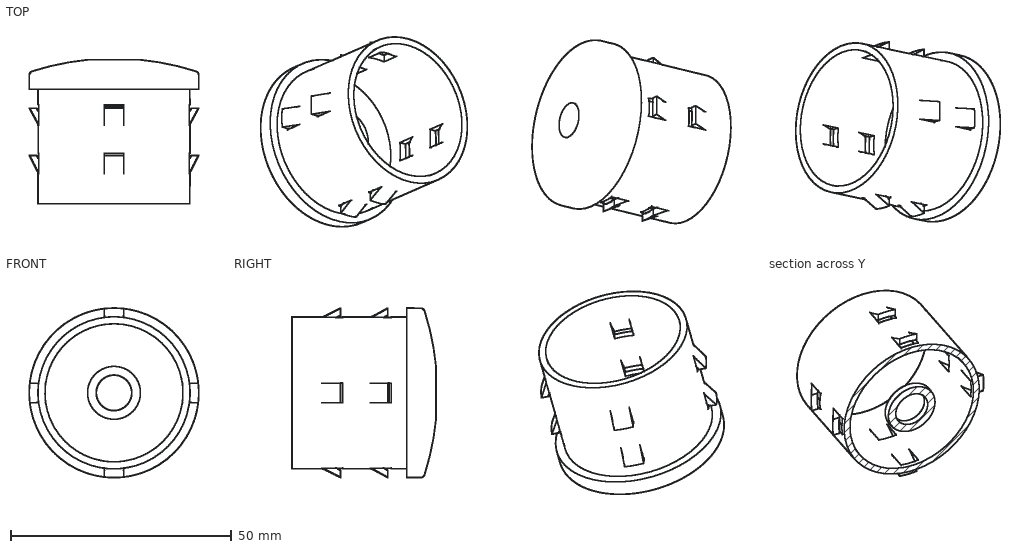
import cadquery as cq
import math


sleeve_radius = 17.25
wall = 1.6
sleeve_length = 26.0
bore_radius = sleeve_radius - wall

flange_overhang = 2.0
flange_radius = sleeve_radius + flange_overhang
total_length = 32.72
dome_radius = 61.0
dome_flat_radius = 6.0
rim_fillet = 1.0

hole_radius = 4.0
boss_radius = 6.0
boss_end_y = 22.05
boss_fillet = 1.0

tongues_per_row = 4
tongue_width = 4.4
window_length = 4.7
window_starts = (6.8, 17.8)
tip_offsets = (4.25, 3.95)
tip_radius = flange_radius
bend_setback = 0.27
bend_radius = 1.0
selection_tolerance = 0.01


def dome_height(radius):
    """Height of the dome surface at a distance from the axis."""
    centre_y = total_length - math.sqrt(dome_radius**2 - dome_flat_radius**2)
    return centre_y + math.sqrt(dome_radius**2 - radius**2)


def revolve_about_y(profile):
    """Full revolution, with the seam turned to lie between the tongues."""
    seam_angle = 180 / tongues_per_row
    solid = profile.close().revolve(360, (0, 0, 0), (0, 1, 0))
    return solid.rotate((0, 0, 0), (0, 1, 0), seam_angle)


def make_cap():
    dome_mid_radius = (dome_flat_radius + flange_radius) / 2
    profile = (
        cq.Workplane("XY")
        .moveTo(0, sleeve_length)
        .lineTo(flange_radius, sleeve_length)
        .lineTo(flange_radius, dome_height(flange_radius))
        .threePointArc((dome_mid_radius, dome_height(dome_mid_radius)), (dome_flat_radius, total_length))
        .lineTo(0, total_length)
    )
    rim_centre = (0, dome_height(flange_radius), 0)
    return revolve_about_y(profile).edges(cq.NearestToPointSelector(rim_centre)).fillet(rim_fillet)


def make_sleeve():
    profile = (
        cq.Workplane("XY")
        .moveTo(bore_radius, 0)
        .lineTo(sleeve_radius, 0)
        .lineTo(sleeve_radius, sleeve_length)
        .lineTo(bore_radius, sleeve_length)
    )
    return revolve_about_y(profile)


def make_boss():
    """Boss with a concave fillet where it meets the cap."""
    profile = (
        cq.Workplane("XY")
        .moveTo(0, boss_end_y)
        .lineTo(boss_radius, boss_end_y)
        .lineTo(boss_radius, sleeve_length - boss_fillet)
        .radiusArc((boss_radius + boss_fillet, sleeve_length), boss_fillet)
        .lineTo(0, sleeve_length)
    )
    return revolve_about_y(profile)


def make_window(start_y):
    """Cutter for one window through the +X wall, passing it by a wall thickness on each side."""
    cutter = cq.Workplane("XY").box(3 * wall, window_length, tongue_width, centered=(False, False, True))
    return cutter.translate((bore_radius - wall, start_y, 0))


def make_tongue(start_y, tip_offset):
    """Part of a flared ring of constant radial thickness, trimmed to the tongue width on the +X side."""
    corner_y = start_y + bend_setback
    tip_y = start_y + tip_offset
    profile = (
        cq.Workplane("XY")
        .moveTo(bore_radius, start_y)
        .lineTo(sleeve_radius, start_y)
        .lineTo(sleeve_radius, corner_y)
        .lineTo(tip_radius, tip_y)
        .lineTo(tip_radius - wall, tip_y)
        .lineTo(bore_radius, corner_y)
    )
    ring = revolve_about_y(profile)
    bends = cq.selectors.BoxSelector(
        (-wall, corner_y - selection_tolerance, -wall), (wall, corner_y + selection_tolerance, wall)
    )
    ring = ring.edges("%CIRCLE").edges(bends).fillet(bend_radius)
    trim = cq.Workplane("XY").box(
        2 * flange_radius, total_length, tongue_width, centered=(False, False, True)
    )
    return ring.intersect(trim)


def make_hole():
    return cq.Workplane("XZ").circle(hole_radius).extrude(-2 * total_length)


def turned_about_y(part):
    """Copies of a part on the +X side, spread evenly around the sleeve."""
    step = 360 / tongues_per_row
    return [part.rotate((0, 0, 0), (0, 1, 0), index * step) for index in range(tongues_per_row)]


body = make_sleeve().union(make_cap()).union(make_boss()).cut(make_hole())

for start_y in window_starts:
    for window in turned_about_y(make_window(start_y)):
        body = body.cut(window)

for start_y, tip_offset in zip(window_starts, tip_offsets):
    for tongue in turned_about_y(make_tongue(start_y, tip_offset)):
        body = body.union(tongue, clean=False)

result = body